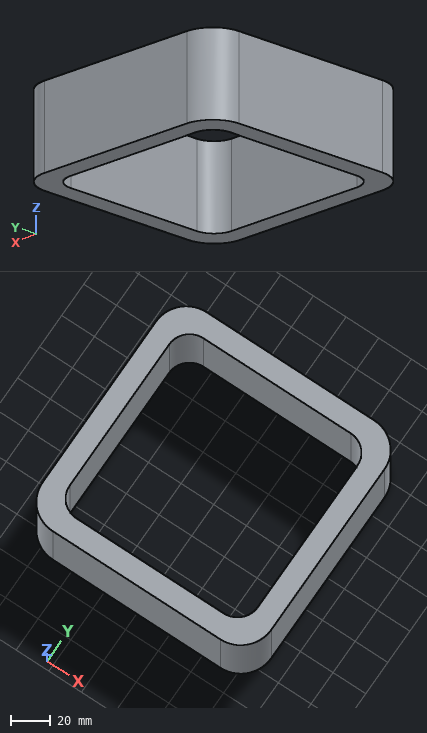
import cadquery as cq

outer_side = 140.0
height = 50.0
wall = 12.5
outer_corner_radius = 18.8
inner_corner_radius = 12.5

inner_side = outer_side - 2 * wall


def rounded_square_block(side, corner_radius):
    """Upright square block with its four vertical edges rounded."""
    block = cq.Workplane("XY").rect(side, side).extrude(height)
    return block.edges("|Z").fillet(corner_radius)


outer_block = rounded_square_block(outer_side, outer_corner_radius)
opening = rounded_square_block(inner_side, inner_corner_radius)

result = outer_block.cut(opening)